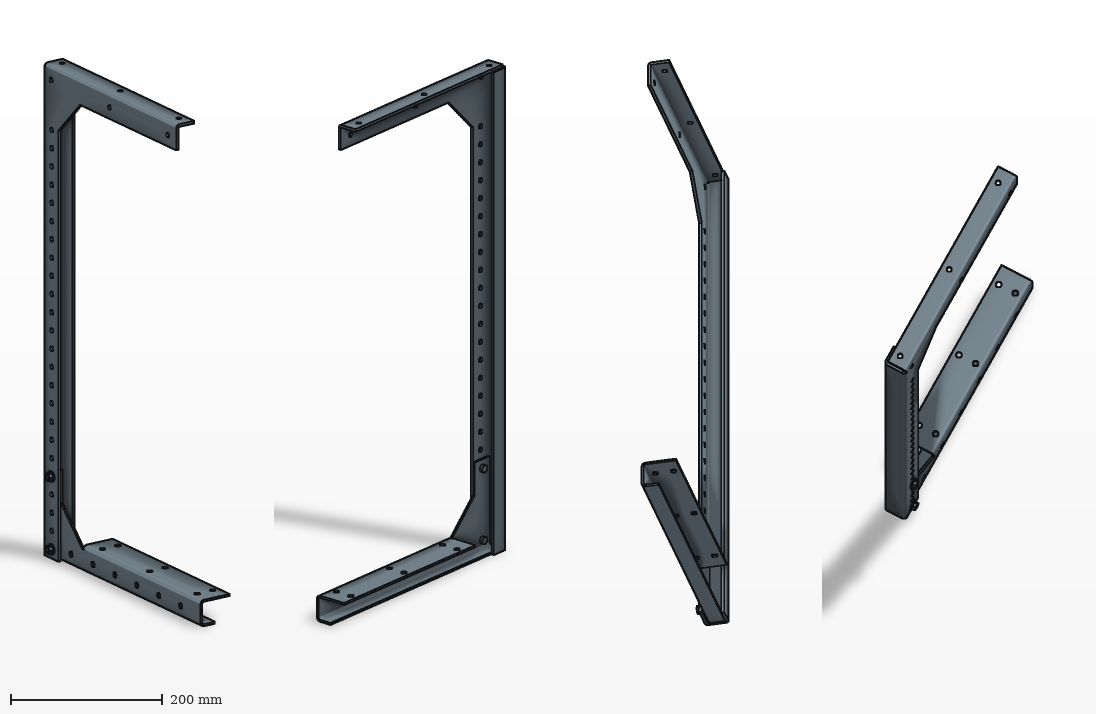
import cadquery as cq
import math


FRAME_HEIGHT = 686.0
FRAME_SHEET = 4.0
FRAME_BEND = 5.15
COLUMN_WIDTH = 36.0
COLUMN_DEPTH = 32.0
BACK_LIP_WIDTH = 27.0
ARM_LENGTH = 308.5
ARM_HEIGHT = 36.0
ARM_FLANGE_DEPTH = 29.0
GUSSET_LEG = 50.0

FRAME_HOLE_DIAMETER = 6.5
COLUMN_HOLE_X = 20.0
COLUMN_HOLE_Z = 13.0
COLUMN_HOLE_PITCH = 25.5
COLUMN_HOLE_COUNT = 24
ARM_HOLE_X = 18.5
ARM_HOLE_PITCH = 135.0
ARM_HOLE_COUNT = 3
ARM_HOLE_DROP = 20.0
ARM_FLANGE_HOLE_Y = 18.0

BRACKET_SHEET = 3.0
BRACKET_BEND = 6.0
BRACKET_END_X = 359.0
BRACKET_HEIGHT = 37.0
BRACKET_BACK_Y = 51.0
BRACKET_LIP_BACK_Y = 27.5
BRACKET_FLANGE_X = 88.0
TAIL_MARGIN = 12.5

BRACKET_HOLE_DIAMETER = 7.5
FOOT_HOLE_X = 59.0
FOOT_HOLE_Z = 16.5
FOOT_HOLE_PITCH = 2 * COLUMN_HOLE_PITCH
FOOT_HOLE_COUNT = 6
TOP_HOLE_X = 114.0
TOP_HOLE_PITCH = 110.0
TOP_HOLE_COUNT = 3
TOP_HOLE_ROWS_Y = (16.5, 41.0)

BOLTED_HOLES = (0, 4)
BOLT_DIAMETER = 6.0
BOLT_HEAD_DIAMETER = 10.0
BOLT_HEAD_HEIGHT = 4.0
NUT_HEIGHT = 6.0
NUT_ACROSS_FLATS = 9.5
NUT_FLANGE_DIAMETER = 14.5
NUT_FLANGE_HEIGHT = 1.5

BRACKET_FRONT_Y = FRAME_SHEET
BRACKET_INSIDE_Y = BRACKET_FRONT_Y + BRACKET_SHEET
column_hole_heights = [COLUMN_HOLE_Z + i * COLUMN_HOLE_PITCH for i in range(COLUMN_HOLE_COUNT)]
bolt_heights = [column_hole_heights[i] for i in BOLTED_HOLES]


def cylinder_along_y(x, z, diameter, y_start, y_end):
    """Round bar parallel to Y."""
    bar = cq.Solid.makeCylinder(diameter / 2, y_end - y_start, cq.Vector(x, y_start, z), cq.Vector(0, 1, 0))
    return cq.Workplane(bar)


def cylinder_along_z(x, y, diameter, z_start, z_end):
    """Round bar parallel to Z."""
    bar = cq.Solid.makeCylinder(diameter / 2, z_end - z_start, cq.Vector(x, y, z_start))
    return cq.Workplane(bar)


def front_plate(outline, front_y, thickness):
    """Flat sheet with an (X, Z) outline and its front face at front_y."""
    return cq.Workplane("XZ", origin=(0, front_y, 0)).polyline(outline).close().extrude(-thickness)


def bent_flange(x_start, x_end, outer_z, inward, front_y, back_y, thickness, bend):
    """Flange folded back from a front plate; inward is the Z direction from its outer face to the plate."""
    bend_z = outer_z + inward * bend
    inner_z = outer_z + inward * thickness
    bend_y = front_y + bend
    inside_y = front_y + thickness
    inner_bend = bend - thickness
    diagonal = math.sqrt(0.5)
    outer_mid = (bend_y - bend * diagonal, bend_z - inward * bend * diagonal)
    inner_mid = (bend_y - inner_bend * diagonal, bend_z - inward * inner_bend * diagonal)
    return (
        cq.Workplane("YZ", origin=(x_start, 0, 0))
        .moveTo(front_y, bend_z)
        .threePointArc(outer_mid, (bend_y, outer_z))
        .lineTo(back_y, outer_z)
        .lineTo(back_y, inner_z)
        .lineTo(bend_y, inner_z)
        .threePointArc(inner_mid, (inside_y, bend_z))
        .close()
        .extrude(x_end - x_start)
    )


def column_channel(height):
    """Left wall of the column with its two rounded bends and the back wall, open at both ends."""
    outside = (
        cq.Workplane("XY")
        .box(BACK_LIP_WIDTH, COLUMN_DEPTH, height, centered=False)
        .edges("|Z and <X")
        .fillet(FRAME_BEND)
    )
    inside = (
        cq.Workplane("XY", origin=(FRAME_SHEET, FRAME_SHEET, 0))
        .box(BACK_LIP_WIDTH, COLUMN_DEPTH - 2 * FRAME_SHEET, height, centered=False)
        .edges("|Z and <X")
        .fillet(FRAME_BEND - FRAME_SHEET)
    )
    return outside.cut(inside)


def corner_relief():
    """Block that removes the front wall and front bend of the channel beside the arm's bend."""
    return cq.Workplane("XY", origin=(0, 0, FRAME_HEIGHT - FRAME_BEND)).box(
        BACK_LIP_WIDTH, FRAME_BEND, FRAME_BEND, centered=False
    )


def make_frame():
    plate_top = FRAME_HEIGHT - FRAME_BEND
    arm_bottom = FRAME_HEIGHT - ARM_HEIGHT
    outline = [
        (FRAME_BEND, 0),
        (COLUMN_WIDTH, 0),
        (COLUMN_WIDTH, arm_bottom - GUSSET_LEG),
        (COLUMN_WIDTH + GUSSET_LEG, arm_bottom),
        (ARM_LENGTH, arm_bottom),
        (ARM_LENGTH, plate_top),
        (FRAME_BEND, plate_top),
    ]
    channel = column_channel(FRAME_HEIGHT - FRAME_SHEET).cut(corner_relief())
    arm_flange = bent_flange(
        FRAME_SHEET, ARM_LENGTH, FRAME_HEIGHT, -1, 0, ARM_FLANGE_DEPTH, FRAME_SHEET, FRAME_BEND
    )
    frame = front_plate(outline, 0, FRAME_SHEET).union(channel).union(arm_flange)

    for z in column_hole_heights:
        diameter = BOLT_DIAMETER if z in bolt_heights else FRAME_HOLE_DIAMETER
        frame = frame.cut(cylinder_along_y(COLUMN_HOLE_X, z, diameter, 0, FRAME_SHEET))
    for i in range(ARM_HOLE_COUNT):
        x = ARM_HOLE_X + i * ARM_HOLE_PITCH
        front_hole_z = FRAME_HEIGHT - ARM_HOLE_DROP
        frame = frame.cut(cylinder_along_y(x, front_hole_z, FRAME_HOLE_DIAMETER, 0, FRAME_SHEET))
        frame = frame.cut(
            cylinder_along_z(
                x, ARM_FLANGE_HOLE_Y, FRAME_HOLE_DIAMETER, FRAME_HEIGHT - FRAME_SHEET, FRAME_HEIGHT
            )
        )
    return frame


def make_bracket():
    left_x = FRAME_BEND
    plate_top = BRACKET_HEIGHT - BRACKET_BEND
    tail_top = bolt_heights[-1] + TAIL_MARGIN
    outline = [
        (left_x, BRACKET_BEND),
        (BRACKET_END_X, BRACKET_BEND),
        (BRACKET_END_X, plate_top),
        (COLUMN_WIDTH + GUSSET_LEG, plate_top),
        (COLUMN_WIDTH, plate_top + GUSSET_LEG),
        (COLUMN_WIDTH, tail_top),
        (left_x, tail_top),
    ]
    top_flange = bent_flange(
        BRACKET_FLANGE_X, BRACKET_END_X, BRACKET_HEIGHT, -1,
        BRACKET_FRONT_Y, BRACKET_BACK_Y, BRACKET_SHEET, BRACKET_BEND,
    )
    bottom_flange = bent_flange(
        left_x, BRACKET_END_X, 0, 1,
        BRACKET_FRONT_Y, BRACKET_LIP_BACK_Y, BRACKET_SHEET, BRACKET_BEND,
    )
    bracket = front_plate(outline, BRACKET_FRONT_Y, BRACKET_SHEET).union(top_flange).union(bottom_flange)

    for z in bolt_heights:
        bracket = bracket.cut(
            cylinder_along_y(COLUMN_HOLE_X, z, BOLT_DIAMETER, BRACKET_FRONT_Y, BRACKET_INSIDE_Y)
        )
    for i in range(FOOT_HOLE_COUNT):
        x = FOOT_HOLE_X + i * FOOT_HOLE_PITCH
        bracket = bracket.cut(
            cylinder_along_y(x, FOOT_HOLE_Z, BRACKET_HOLE_DIAMETER, BRACKET_FRONT_Y, BRACKET_INSIDE_Y)
        )
    for i in range(TOP_HOLE_COUNT):
        x = TOP_HOLE_X + i * TOP_HOLE_PITCH
        for y in TOP_HOLE_ROWS_Y:
            bracket = bracket.cut(
                cylinder_along_z(x, y, BRACKET_HOLE_DIAMETER, BRACKET_HEIGHT - BRACKET_SHEET, BRACKET_HEIGHT)
            )
    return bracket


def make_bolt(z):
    """Bolt with its head inside the column and its tip flush with the nut."""
    shank = cylinder_along_y(COLUMN_HOLE_X, z, BOLT_DIAMETER, -NUT_HEIGHT, BRACKET_INSIDE_Y)
    head = cylinder_along_y(
        COLUMN_HOLE_X, z, BOLT_HEAD_DIAMETER, BRACKET_INSIDE_Y, BRACKET_INSIDE_Y + BOLT_HEAD_HEIGHT
    )
    return shank.union(head)


def make_nut(z):
    """Hexagonal flange nut on the column's front face, with two corners level with its axis."""
    across_corners = NUT_ACROSS_FLATS / math.cos(math.pi / 6)
    hexagon = (
        cq.Workplane("XZ", origin=(COLUMN_HOLE_X, 0, z)).polygon(6, across_corners).extrude(NUT_HEIGHT)
    )
    flange = cylinder_along_y(COLUMN_HOLE_X, z, NUT_FLANGE_DIAMETER, -NUT_FLANGE_HEIGHT, 0)
    bore = cylinder_along_y(COLUMN_HOLE_X, z, BOLT_DIAMETER, -NUT_HEIGHT, 0)
    return hexagon.union(flange).cut(bore)


frame = make_frame()
bracket = make_bracket()
bolts = [make_bolt(z) for z in bolt_heights]
nuts = [make_nut(z) for z in bolt_heights]

result = cq.Compound.makeCompound(
    [frame.val(), bracket.val(), *[bolt.val() for bolt in bolts], *[nut.val() for nut in nuts]]
)